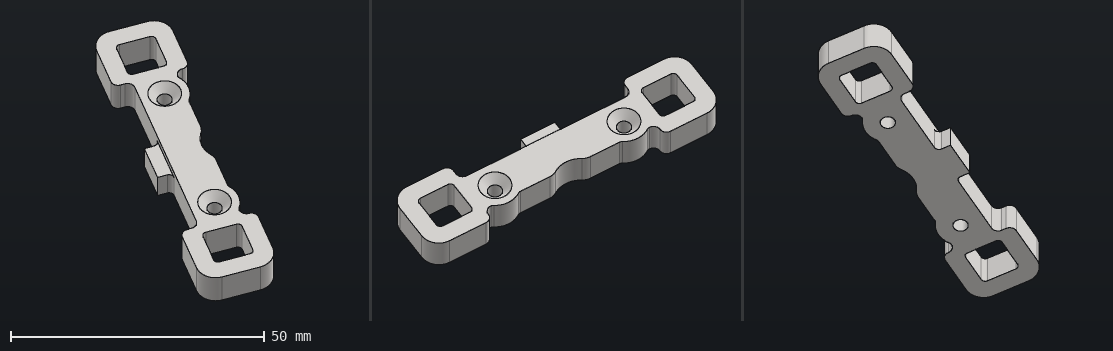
import cadquery as cq
import math

length = 68.0
thickness = 7.0

pad_width = 16.0
pad_inner_x = 20.0
pad_outer_radius = 4.0
neck_radius = 1.5

window_size = 8.15
window_center_x = 26.0
window_radius = 0.9

beam_back_y = 4.95
beam_front_y = -4.0

screw_x = 15.0
screw_y = 1.0
screw_radius = 1.5
countersink_radius = 3.3
countersink_angle = 90.0
bump_radius = 5.0
bump_blend_radius = 1.0

wave_overlap = 0.7

notch_bottom_y = 3.55
notch_radius = 5.5
notch_blend_radius = 3.0

tab_width = 8.0
tab_front_y = -7.1
tab_height = 5.5
tab_root_radius = 1.0


def block(x_min, x_max, y_min, y_max, height):
    """Box standing on the base plane between the given limits."""
    return cq.Workplane("XY").box(
        x_max - x_min, y_max - y_min, height, centered=False
    ).translate((x_min, y_min, 0))


def vertical_edges_at(body, x, y_values, radius):
    """Round the vertical edges at +x and -x for each y value."""
    points = [(side * x, y, thickness / 2) for side in (-1, 1) for y in y_values]
    selector = None
    for point in points:
        nearest = cq.selectors.NearestToPointSelector(point)
        selector = nearest if selector is None else selector + nearest
    return body.edges(selector).fillet(radius)


def make_plate():
    half_length = length / 2
    half_pad = pad_width / 2
    plate = block(-pad_inner_x, pad_inner_x, beam_front_y, beam_back_y, thickness)
    for x_min, x_max in ((-half_length, -pad_inner_x), (pad_inner_x, half_length)):
        plate = plate.union(block(x_min, x_max, -half_pad, half_pad, thickness))
    plate = vertical_edges_at(plate, half_length, (-half_pad, half_pad), pad_outer_radius)
    neck_y = (-half_pad, beam_front_y, beam_back_y, half_pad)
    return vertical_edges_at(plate, pad_inner_x, neck_y, neck_radius)


def back_edge_wave(center_x, center_y, radius, blend_radius, direction):
    """Arc swell along the back edge, blended tangentially into the edge.

    A direction of 1 bulges outward and -1 dips inward.
    """
    blend_y = beam_back_y + direction * blend_radius
    reach = radius + blend_radius
    blend_dx = math.sqrt(reach**2 - (blend_y - center_y) ** 2)
    join_dx = blend_dx * radius / reach
    join_y = center_y + (blend_y - center_y) * radius / reach
    base_y = beam_back_y - direction * wave_overlap
    half_angle = math.asin(blend_dx / reach) / 2
    blend_mid_dx = blend_dx - blend_radius * math.sin(half_angle)
    blend_mid_y = blend_y - direction * blend_radius * math.cos(half_angle)
    return (
        cq.Workplane("XY")
        .moveTo(center_x - blend_dx, base_y)
        .lineTo(center_x - blend_dx, beam_back_y)
        .threePointArc((center_x - blend_mid_dx, blend_mid_y), (center_x - join_dx, join_y))
        .threePointArc(
            (center_x, center_y + direction * radius), (center_x + join_dx, join_y)
        )
        .threePointArc((center_x + blend_mid_dx, blend_mid_y), (center_x + blend_dx, beam_back_y))
        .lineTo(center_x + blend_dx, base_y)
        .lineTo(center_x - blend_dx, base_y)
        .close()
        .extrude(thickness)
    )


def make_tab():
    root_half_width = tab_width / 2 + tab_root_radius
    tab = block(-tab_width / 2, tab_width / 2, tab_front_y, beam_front_y, tab_height)
    root = block(
        -root_half_width, root_half_width, beam_front_y - tab_root_radius, beam_front_y, tab_height
    )
    for side in (-1, 1):
        root = root.cut(
            cq.Workplane("XY")
            .center(side * root_half_width, beam_front_y - tab_root_radius)
            .circle(tab_root_radius)
            .extrude(tab_height)
        )
    return tab.union(root)


def make_windows():
    return (
        cq.Workplane("XY")
        .pushPoints([(-window_center_x, 0), (window_center_x, 0)])
        .rect(window_size, window_size)
        .extrude(thickness)
        .edges("|Z")
        .fillet(window_radius)
    )


result = make_plate()
for screw_side in (-1, 1):
    bump = back_edge_wave(screw_side * screw_x, screw_y, bump_radius, bump_blend_radius, 1)
    result = result.union(bump)
notch_center_y = notch_bottom_y + notch_radius
result = result.cut(back_edge_wave(0, notch_center_y, notch_radius, notch_blend_radius, -1))
result = result.union(make_tab())
result = result.cut(make_windows())
result = (
    result.faces(">Z")
    .workplane(origin=(0, 0, thickness))
    .pushPoints([(-screw_x, screw_y), (screw_x, screw_y)])
    .cskHole(2 * screw_radius, 2 * countersink_radius, countersink_angle)
)